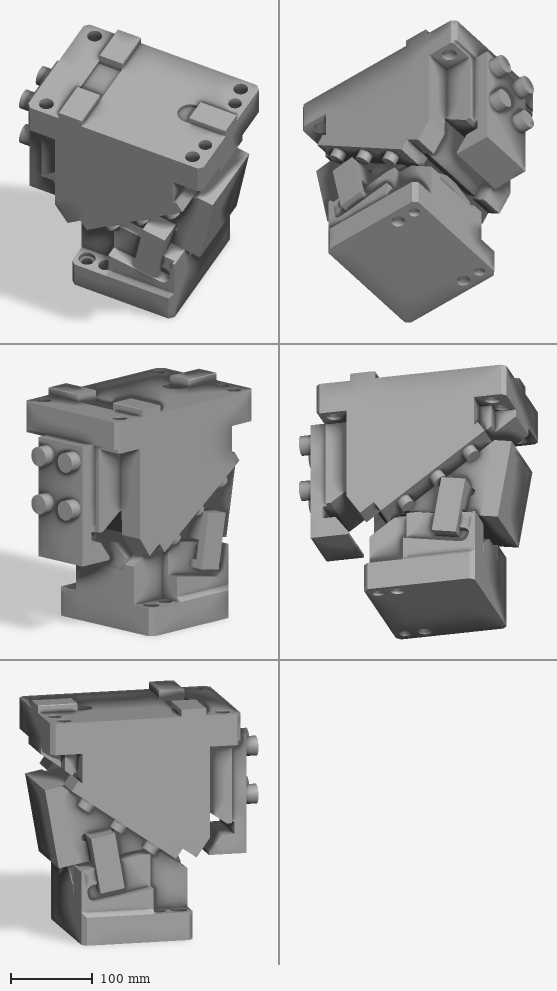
import cadquery as cq
import math


half_width = 80.0
corner_chamfer = 5.5
clear = 289.0

ramp_angle = math.radians(35)
guide_angle = math.radians(10)
ramp_x, ramp_z = 181.2, 148.5

gib_thick = 15.0
flange_top = 19.7
block_ramp = 68.5
block_relief = 60.0
gib_gap = 3.0
gib_half_length = 80.0
flank_toe = -101.5

slider_left, slider_right = 91.0, 235.5
slider_bottom, slider_top = 134.7, 234.7
key_left = 81.0
key_floor, key_eave, key_ridge = 90.5, 105.2, 121.5
relief_floor = 94.5
base_guide_top = 130.3
slot_floor, slot_roof = 89.5, 109.8
slot_end = 211.0
rail_left = 171.5
bracket_left, bracket_right = 165.3, 196.0
bracket_bottom, bracket_top = 99.7, 170.0
bracket_seat, bracket_seat_depth = 10.0, 10.0

slider_half = 49.5
neck_half = 38.7
gib_inner = 39.5
key_half = 32.5
key_ridge_half = 7.2
channel_half = 34.5
rail_root = 59.5
rail_face = 69.6
hook_tip = 61.5

plate_left, plate_right = 33.0, 273.0
plate_bottom, plate_top, key_top = 240.5, 279.8, 289.0
screw_hole, screw_y, screw_x = 18.2, 65.0, (53.0, 253.0)
dowel_hole, dowel_y, dowel_x = 16.8, 40.0, 257.8
keyway_depth = 5.0
key_edge = 1.0
cross_key_left, cross_key_right, cross_key_inner = 77.0, 108.7, 30.0
end_key_left, end_key_half, end_slot_left = 223.5, 15.5, 201.0

flank_left, flank_right = 72.5, 233.2
block_half = 45.7
relief_half = 48.5
stop_right, rib_half = 247.5, 30.0
hook_left, hook_right, hook_half = 15.5, 36.5, 37.5
hook_top, hook_bottom = 245.0, 95.0
notch_x, notch_top, notch_bottom = 31.0, 135.3, 119.6
lip_top_x, lip_tip_x, lip_tip_z = 47.0, 63.0, 98.8
pin_diameter, pin_y, pin_z = 24.3, 22.5, (165.3, 225.5)
bolt_diameter, bolt_length, bolt_pitch = 18.0, 11.0, 50.0
bolt_y = 66.2

base_left, base_right = 93.3, 233.2
foot_top = 35.0
base_top = 105.0
nose_z = 83.0
step_x = 142.5
wall_half = 74.5
base_hole_y, base_screw_x, base_dowel_x = 64.2, 108.0, 133.0
counterbore, counterbore_depth, base_screw, base_dowel = 20.8, 5.8, 14.0, 17.0


def on_ramp(along, up):
    """X, Z of a point given along and square to the ramp."""
    return (
        ramp_x + along * math.cos(ramp_angle) - up * math.sin(ramp_angle),
        ramp_z + along * math.sin(ramp_angle) + up * math.cos(ramp_angle),
    )


def on_guide(along, up):
    """X, Z of a point given along and square to the slider guide."""
    return (
        along * math.cos(guide_angle) + up * math.sin(guide_angle),
        up * math.cos(guide_angle) - along * math.sin(guide_angle),
    )


def rectangle(low, high, frame=lambda x, z: (x, z)):
    """Corners of a rectangle between two opposite corners, in a given frame."""
    (x0, z0), (x1, z1) = low, high
    return [frame(x0, z0), frame(x1, z0), frame(x1, z1), frame(x0, z1)]


def centred(outline, half):
    """X-Z outline made solid from Y = -half to Y = +half."""
    return cq.Workplane("XZ").polyline(outline).close().extrude(half, both=True)


def both_sides(outline, inner, outer):
    """X-Z outline made solid on both sides, from |Y| = inner to |Y| = outer."""
    return centred(outline, outer).cut(centred(outline, inner))


def side_discs(centres, radius, inner, outer):
    """Discs at X-Z centres on both sides, from |Y| = inner to |Y| = outer."""
    def discs(half):
        return cq.Workplane("XZ").pushPoints(centres).circle(radius).extrude(half, both=True)

    return discs(outer).cut(discs(inner))


def plan_block(left, right, bottom, top):
    """Full-width block with chamfered upright corners."""
    block = centred(rectangle((left, bottom), (right, top)), half_width)
    return block.edges("|Z").chamfer(corner_chamfer)


def drill(x, y, diameter, bottom, top):
    """Pair of upright cylinders at +y and -y."""
    circles = cq.Workplane("XY", origin=(0, 0, bottom)).pushPoints([(x, y), (x, -y)]).circle(diameter / 2)
    return circles.extrude(top - bottom)


def hook_plate():
    """Plate with a hooked foot and four pins on its outer face."""
    outline = [
        (hook_left, hook_bottom),
        (lip_tip_x, hook_bottom),
        (lip_tip_x, lip_tip_z),
        (lip_top_x, notch_bottom),
        (notch_x, notch_bottom),
        (notch_x, notch_top),
        (hook_right, notch_top),
        (hook_right, hook_top),
        (hook_left, hook_top),
    ]
    spots = [(y, z) for y in (-pin_y, pin_y) for z in pin_z]
    pins = cq.Workplane("YZ").pushPoints(spots).circle(pin_diameter / 2).extrude(hook_left)
    return centred(outline, hook_half).union(pins)


def driver_blank():
    """Flanks, mounting block and end stops before the ramp pocket is cut."""
    flanks = centred(rectangle((flank_left, 0), (flank_right, plate_bottom)), half_width)
    stop = centred(rectangle((flank_right, 0), (stop_right, plate_bottom)), slider_half)
    rib = centred(rectangle((stop_right, 0), (plate_right, plate_bottom)), rib_half)
    block = centred(rectangle((hook_right, notch_top), (flank_left, plate_bottom)), block_half)
    return flanks.union(stop).union(rib).union(block)


def ramp_cuts():
    """Everything below the flanks, plus the stepped pocket between them."""
    below = centred(rectangle((-clear, -clear), (clear, gib_thick), on_ramp), clear)
    toe = centred(rectangle((-clear, -clear), (flank_toe, clear), on_ramp), clear)
    toe = toe.intersect(centred(rectangle((flank_left, 0), (flank_right, clear)), clear))
    bed = centred(rectangle((-gib_half_length, 0), (gib_half_length, flange_top), on_ramp), slider_half)
    pocket = centred(rectangle((-clear, 0), (-gib_half_length, block_relief), on_ramp), slider_half)
    upper_pocket = centred(rectangle((-clear, 0), (-gib_half_length, block_ramp), on_ramp), relief_half)
    return [below, toe, bed, pocket, upper_pocket]


def gibs():
    """Strips under the flanks that hold the slider flange."""
    outline = rectangle((-gib_half_length, 0), (gib_half_length, gib_thick), on_ramp)
    return both_sides(outline, gib_inner, half_width)


def gib_bolts():
    """Bolt heads under the gibs, square to the ramp."""
    down = cq.Vector(math.sin(ramp_angle), 0, -math.cos(ramp_angle))
    heads = []
    for along in (-bolt_pitch, 0, bolt_pitch):
        x, z = on_ramp(along, 0)
        for y in (-bolt_y, bolt_y):
            centre = cq.Vector(x, y, z)
            heads.append(cq.Solid.makeCylinder(bolt_diameter / 2, bolt_length, centre, down))
    return heads


def top_plate():
    """Mounting plate with a cross groove and a round-ended keyway."""
    plate = plan_block(plate_left, plate_right, plate_bottom, plate_top)
    undercut = centred(rectangle((plate_left, plate_bottom), (hook_right, hook_top)), half_width)
    floor = plate_top - keyway_depth
    groove = centred(rectangle((cross_key_left, floor), (cross_key_right, plate_top)), half_width)
    slot_centre = end_slot_left + end_key_half
    slot = centred(rectangle((slot_centre, floor), (plate_right, plate_top)), end_key_half)
    slot_round = cq.Workplane("XY", origin=(slot_centre, 0, floor)).circle(end_key_half)
    slot_round = slot_round.extrude(keyway_depth)
    return plate.cut(undercut).cut(groove).cut(slot).cut(slot_round)


def plate_keys():
    """Two keys in the cross groove and one in the end keyway."""
    floor = plate_top - keyway_depth
    cross_keys = both_sides(
        rectangle((cross_key_left, floor), (cross_key_right, key_top)), cross_key_inner, half_width
    )
    cross_keys = cross_keys.faces(">Z").edges("|Y").chamfer(key_edge)
    end_key = centred(rectangle((end_key_left, floor), (plate_right, key_top)), end_key_half)
    end_key = end_key.faces(">Z").edges("|X").chamfer(key_edge)
    return cross_keys.union(end_key)


def make_driver():
    driver = driver_blank()
    for cut in ramp_cuts():
        driver = driver.cut(cut)
    driver = driver.union(gibs()).union(top_plate()).union(plate_keys()).union(hook_plate())
    for head in gib_bolts():
        driver = driver.union(cq.Workplane(head))
    for x in screw_x:
        driver = driver.cut(drill(x, screw_y, screw_hole, plate_bottom, plate_top))
    return driver.cut(drill(dowel_x, dowel_y, dowel_hole, 0, plate_top))


def guide_key():
    """Key of the base, running down the guide; the slider rides on its roof."""
    x, z = on_guide(key_left, 0)
    normal = (math.cos(guide_angle), 0, -math.sin(guide_angle))
    section = [
        (-key_half, key_floor),
        (key_half, key_floor),
        (key_half, key_eave),
        (key_ridge_half, key_ridge),
        (-key_ridge_half, key_ridge),
        (-key_half, key_eave),
    ]
    plane = cq.Plane(origin=(x, 0, z), xDir=(0, 1, 0), normal=normal)
    return cq.Workplane(plane).polyline(section).close().extrude(clear)


def bracket_slots():
    """Round-ended seats in the slider sides for the tops of the brackets."""
    radius = bracket_seat / 2
    seat_face = slider_half - bracket_seat_depth
    seat = rectangle((bracket_left, bracket_top - bracket_seat), (bracket_right, bracket_top), on_guide)
    slots = both_sides(seat, seat_face, slider_half)
    ends = [on_guide(along, bracket_top - radius) for along in (bracket_left, bracket_right)]
    return slots.union(side_discs(ends, radius, seat_face, slider_half))


def brackets():
    """C-shaped brackets that reach down and hook under the rails of the base."""
    seat_face = slider_half - bracket_seat_depth
    tab = rectangle((bracket_left, bracket_top - bracket_seat), (bracket_right, bracket_top), on_guide)
    head = rectangle((bracket_left, slider_bottom), (bracket_right, bracket_top), on_guide)
    arm = rectangle((bracket_left, bracket_bottom), (bracket_right, bracket_top), on_guide)
    hook = rectangle((bracket_left, bracket_bottom), (bracket_right, slot_roof), on_guide)
    shape = both_sides(tab, seat_face, slider_half)
    shape = shape.union(both_sides(head, slider_half, half_width))
    shape = shape.union(both_sides(arm, rail_face, half_width))
    return shape.union(both_sides(hook, hook_tip, half_width))


def make_slider():
    body = centred(
        rectangle((slider_left, slider_bottom), (slider_right, slider_top), on_guide), slider_half
    )
    above = centred(rectangle((-clear, flange_top), (clear, clear), on_ramp), half_width)
    gib_grooves = both_sides(
        rectangle((-clear, -gib_gap), (clear, gib_thick), on_ramp), neck_half, half_width
    )
    tongue = centred(
        rectangle((slider_left, key_eave), (bracket_right, slider_bottom), on_guide), key_half
    ).cut(guide_key())
    body = body.cut(above).cut(gib_grooves).union(tongue)
    return body.cut(bracket_slots()).union(brackets())


def base_blank():
    """Foot with chamfered corners, nose on the left and wide wall on the right."""
    envelope = plan_block(base_left, base_right, 0, base_top)
    foot = plan_block(base_left, base_right, 0, foot_top)
    nose = centred(rectangle((base_left, foot_top), (step_x, base_top)), slider_half)
    shoulder = foot_top + half_width - wall_half
    section = [
        (-half_width, foot_top),
        (half_width, foot_top),
        (wall_half, shoulder),
        (wall_half, base_top),
        (-wall_half, base_top),
        (-wall_half, shoulder),
    ]
    wall = cq.Workplane("YZ", origin=(step_x, 0, 0)).polyline(section).close()
    wall = wall.extrude(base_right - step_x).intersect(envelope)
    blank = foot.union(nose).union(wall)
    rise = clear * math.tan(ramp_angle)
    slope = [(base_left, nose_z), (base_left + clear, nose_z + rise), (base_left, nose_z + rise)]
    over_guide = centred(rectangle((-clear, base_guide_top), (clear, clear), on_guide), half_width)
    return blank.cut(centred(slope, half_width)).cut(over_guide)


def side_recesses():
    """Recesses outside the base wall, leaving a rail over the rounded slot."""
    end_radius = (slot_roof - slot_floor) / 2
    end_x, end_z = on_guide(slot_end - end_radius, slot_floor + end_radius)
    past_step = centred(rectangle((step_x, 0), (clear, clear)), half_width)
    slot = both_sides(
        rectangle((0, slot_floor), (slot_end - end_radius, slot_roof), on_guide), rail_root, half_width
    )
    slot_round = side_discs([(end_x, end_z)], end_radius, rail_root, half_width)
    middle = slot_floor + end_radius
    outside = both_sides(
        rectangle((0, middle), (slot_end, clear), on_guide), rail_face, half_width
    )
    before_rail = both_sides(
        rectangle((0, middle), (rail_left, clear), on_guide), rail_root, half_width
    )
    return slot.union(slot_round).union(outside).union(before_rail).intersect(past_step)


def guide_channel():
    """Channel around the guide key, narrower at the floor in front of the key."""
    relief = centred(rectangle((-clear, relief_floor), (clear, clear), on_guide), channel_half)
    end = centred(rectangle((-clear, key_floor), (key_left, clear), on_guide), key_half)
    return relief.union(end)


def make_base():
    blank = base_blank().cut(side_recesses())
    envelope = plan_block(base_left, base_right, 0, base_top)
    base = blank.cut(guide_channel()).union(guide_key().intersect(envelope))
    base = base.cut(drill(base_screw_x, base_hole_y, base_screw, 0, foot_top))
    base = base.cut(drill(base_screw_x, base_hole_y, counterbore, foot_top - counterbore_depth, foot_top))
    return base.cut(drill(base_dowel_x, base_hole_y, base_dowel, 0, foot_top))


driver = make_driver()
slider = make_slider()
base = make_base()
result = cq.Compound.makeCompound([driver.val(), slider.val(), base.val()])